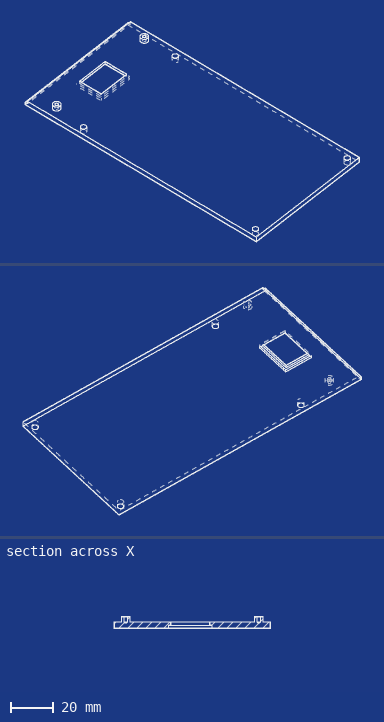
import cadquery as cq
import math

LENGTH = 144.2
WIDTH = 73.4
THICKNESS = 3.0
OVERALL_HEIGHT = 5.5

STEP_WIDTH = 1.5
STEP_DEPTH = 1.5

SCREW_DIAMETER = 3.0
SCREW_EDGE_MARGIN = 4.0
SCREW_LEFT_X = 32.9

STANDOFF_DIAMETER = 4.0
STANDOFF_BORE = 1.6
DRILL_POINT_ANGLE = 118.0
STANDOFF_X = 14.9
STANDOFF_EDGE_MARGIN = 5.5

WINDOW_LEFT = 10.7
WINDOW_BOTTOM = 26.7
WINDOW_LENGTH = 13.4
WINDOW_WIDTH = 18.2

RELIEF_MARGIN = 1.0
RELIEF_DEPTH = 1.5


def mirrored_pair(x, edge_margin):
    """Two points at x, equally far from the front and back edges."""
    return [(x, edge_margin), (x, WIDTH - edge_margin)]


def box_at(x, y, z, length, width, height):
    """Box with its lowest corner at the given point."""
    return cq.Workplane("XY").box(length, width, height, centered=False).translate((x, y, z))


def cylinders(points, diameter, bottom, top):
    """Vertical cylinders at the given points."""
    return (
        cq.Workplane("XY")
        .workplane(offset=bottom)
        .pushPoints(points)
        .circle(diameter / 2)
        .extrude(top - bottom)
    )


plate = box_at(0, 0, 0, LENGTH, WIDTH, THICKNESS)
step = box_at(0, 0, THICKNESS - STEP_DEPTH, STEP_WIDTH, WIDTH, STEP_DEPTH)
window = box_at(WINDOW_LEFT, WINDOW_BOTTOM, 0, WINDOW_LENGTH, WINDOW_WIDTH, THICKNESS)
relief = box_at(
    WINDOW_LEFT - RELIEF_MARGIN,
    WINDOW_BOTTOM - RELIEF_MARGIN,
    0,
    WINDOW_LENGTH + 2 * RELIEF_MARGIN,
    WINDOW_WIDTH + 2 * RELIEF_MARGIN,
    RELIEF_DEPTH,
)

screw_right_x = LENGTH - SCREW_EDGE_MARGIN
screw_points = mirrored_pair(SCREW_LEFT_X, SCREW_EDGE_MARGIN)
screw_points += mirrored_pair(screw_right_x, SCREW_EDGE_MARGIN)
screw_holes = cylinders(screw_points, SCREW_DIAMETER, 0, THICKNESS)

standoff_points = mirrored_pair(STANDOFF_X, STANDOFF_EDGE_MARGIN)
standoffs = cylinders(standoff_points, STANDOFF_DIAMETER, 0, OVERALL_HEIGHT)
bore_radius = STANDOFF_BORE / 2
drill_point_depth = bore_radius / math.tan(math.radians(DRILL_POINT_ANGLE / 2))
bore = (
    cq.Workplane("XZ")
    .moveTo(0, THICKNESS - drill_point_depth)
    .lineTo(bore_radius, THICKNESS)
    .lineTo(bore_radius, OVERALL_HEIGHT)
    .lineTo(0, OVERALL_HEIGHT)
    .close()
    .revolve()
)

result = plate.cut(step).cut(window).cut(relief).cut(screw_holes).union(standoffs)
for x, y in standoff_points:
    result = result.cut(bore.translate((x, y, 0)))